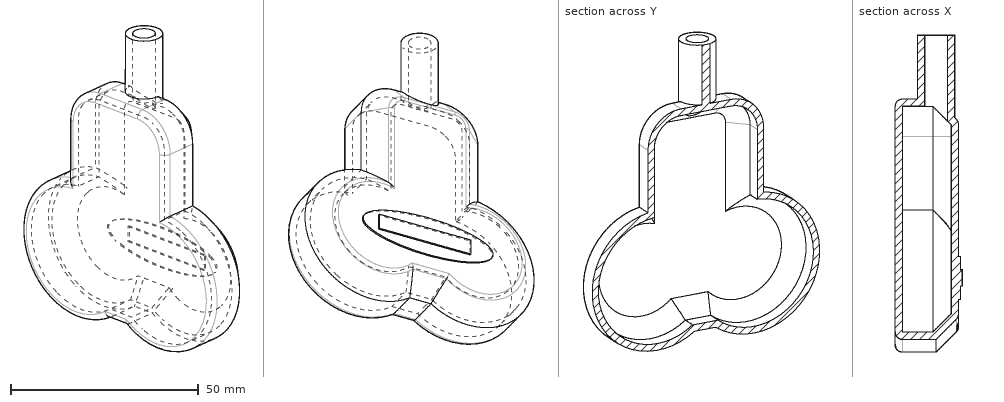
import cadquery as cq
import math


total_height = 84.9
total_width = 69.2

lobe_spacing = 29.2
lobe_radius = (total_width - lobe_spacing) / 2
left_lobe_lift = 0.3

neck_width = 35.2
neck_bottom = 3.7
neck_corner_radius = 10.0
tube_length = 17.0
neck_top = total_height - tube_length

housing_depth = 17.0
back_chamfer = 6.0
edge_radius = 2.0
wall = 2.0
chamfer_start = housing_depth - back_chamfer

tube_diameter = 10.0
bore_diameter = 6.0
tube_y = chamfer_start

badge_width = 39.2
badge_height = 11.6
badge_offset = 0.85
band_width = 27.6
band_height = 4.4
band_offset = 2.0
layer_thickness = 0.5


def lobe_blank(x, z, inset, depth):
    """Cylinder along +Y, from Y = 0."""
    return (
        cq.Workplane("XZ", origin=(x, 0, z))
        .circle(lobe_radius - inset)
        .extrude(-depth)
    )


def neck_blank(inset, depth):
    """Block along +Y, from Y = 0, with rounded top corners."""
    width = neck_width - 2 * inset
    height = neck_top - neck_bottom - 2 * inset
    return (
        cq.Workplane("XZ", origin=(0, 0, (neck_top + neck_bottom) / 2))
        .rect(width, height)
        .extrude(-depth)
        .edges("|Y and >Z")
        .fillet(neck_corner_radius - inset)
    )


def blanks(inset, depth):
    """Left lobe, right lobe and neck, all pulled in from the outline by inset."""
    half_spacing = lobe_spacing / 2
    return [
        lobe_blank(-half_spacing, lobe_radius + left_lobe_lift, inset, depth),
        lobe_blank(half_spacing, lobe_radius, inset, depth),
        neck_blank(inset, depth),
    ]


def joined(bodies):
    first, *others = bodies
    for body in others:
        first = first.union(body)
    return first


def outer_housing():
    """Outer form: chamfered back, then both face edges rounded."""
    return joined(
        blank.faces(">Y").chamfer(back_chamfer).faces("<Y or >Y").edges().fillet(edge_radius)
        for blank in blanks(0, housing_depth)
    )


def cavity():
    """Hollow that leaves one even wall, also behind the 45 degree chamfer."""
    depth = housing_depth - 2 * wall
    chamfer = back_chamfer - wall * (2 - math.sqrt(2))
    return joined(
        blank.faces(">Y").chamfer(chamfer) for blank in blanks(wall, depth)
    ).translate((0, wall, 0))


def tube_cylinder(diameter):
    """Vertical cylinder on the tube axis, from inside the neck to the tube end."""
    start = neck_top - back_chamfer - wall
    return (
        cq.Workplane("XY", origin=(0, tube_y, start))
        .circle(diameter / 2)
        .extrude(total_height - start)
    )


def badge():
    """Oval plate with a raised band across it."""
    lobe_centre_z = lobe_radius + left_lobe_lift / 2
    oval = (
        cq.Workplane("XZ", origin=(badge_offset, housing_depth, lobe_centre_z))
        .ellipse(badge_width / 2, badge_height / 2)
        .extrude(-layer_thickness)
    )
    band = (
        cq.Workplane("XZ", origin=(band_offset, housing_depth, lobe_centre_z))
        .rect(band_width, band_height)
        .extrude(-2 * layer_thickness)
    )
    return oval.union(band)


housing = outer_housing().union(tube_cylinder(tube_diameter)).cut(cavity())
result = housing.cut(tube_cylinder(bore_diameter)).union(badge())